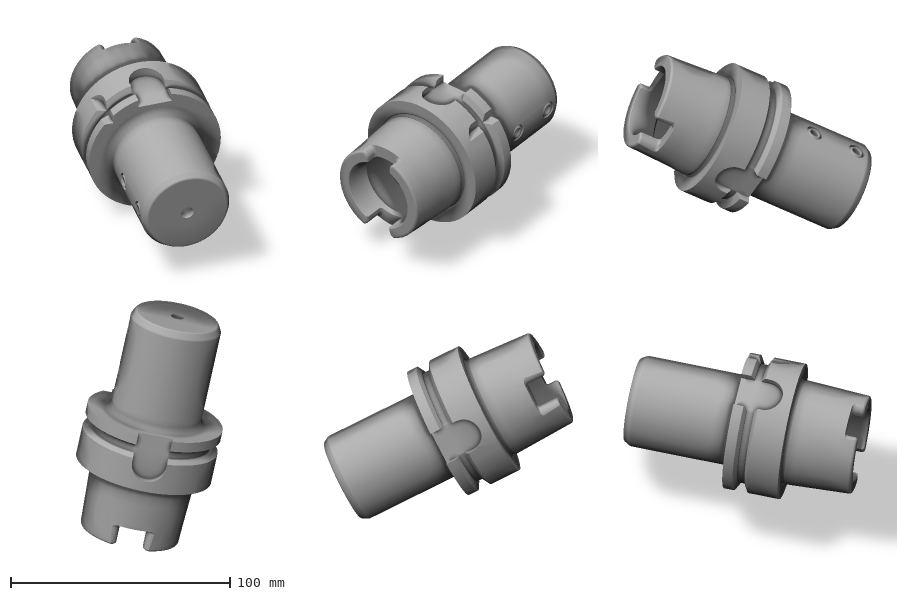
import cadquery as cq
import math


length = 107.0
flange_start = 32.0
flange_end = 57.9

gauge_radius = 48.0 / 2
gauge_x = 25.7
taper_slope = 1 / 20
taper_end = 30.1
relief_start = 30.7
relief_end = 31.6
relief_radius = 23.9
undercut_x = 32.3
undercut_radius = 24.6
undercut_mouth_radius = 25.3
mouth_edge_radius = 1.2

flange_radius = 63.0 / 2
groove_radius = 27.6
groove_center_x = 49.9
groove_floor_width = 3.5
groove_flank_depth = 2.7
groove_flank_angle = 30.0

nose_radius = 42.0 / 2
nose_root_fillet = 3.1
nose_chamfer_length = 3.2
nose_chamfer_angle = 30.0
nose_chamfer_start_blend = 1.4
nose_chamfer_end_blend = 1.1

bore_radius = 34.0 / 2
bore_mouth_radius = 34.7 / 2
bore_mouth_chamfer = 0.3
chamber_radius = 40.0 / 2
bore_end = 13.0
clamp_shoulder_angle = 30.0
cavity_floor = 32.1
cavity_floor_blend = 4.2

boss_radius = 18.0 / 2
boss_height = 12.8
boss_chamfer = 1.0
boss_chamfer_angle = 30.0
seat_mouth_radius = 12.0 / 2
seat_radius = 11.1 / 2
seat_depth = 8.6
step_radius = 8.0 / 2
step_depth = 3.2
through_radius = 6.0 / 2

slot_half_width = 6.2
upper_slot_depth = 5.9
lower_slot_depth = 10.1
slot_flare_radius = 3.2
slot_flare_start_z = 17.8
slot_floor_fillet = 1.5

access_x = 23.1
access_radius = 7.5 / 2
access_chamfer = 0.5
countersink_height = 5.4

keyway_width = 15.9
keyway_floor_z = 26.5
pocket_start = 36.8
keyway_corner_radius = 7.9
notch_floor_z = 20.1
notch_wall_y = -19.9
notch_corner_radius = 7.1

screw_positions = (76.1, 98.1)
screw_radius = 8.0 / 2
screw_face_radius = 5.5 / 2
screw_face_depth = 0.2
screw_chamfer_depth = 1.3
socket_mouth_radius = 4.6 / 2
socket_radius = 4.0 / 2
socket_chamfer = 0.3
socket_depth = 2.1
socket_tip_depth = 1.2

margin = 5.4
tolerance = 0.1

arc_middle = 1 - math.sqrt(0.5)


def taper_radius(x):
    return gauge_radius + (x - gauge_x) * taper_slope


def revolve_about_x(outline):
    return outline.close().revolve(360, (0, 0, 0), (1, 0, 0))


def make_outer_body():
    flank_length = groove_flank_depth * math.tan(math.radians(groove_flank_angle))
    flank_radius = flange_radius - groove_flank_depth
    groove_left = groove_center_x - groove_floor_width / 2
    groove_right = groove_center_x + groove_floor_width / 2
    fillet_radius = nose_radius + nose_root_fillet
    fillet_end = flange_end + nose_root_fillet
    fillet_reach = nose_root_fillet * arc_middle
    chamfer_x = length - nose_chamfer_length
    chamfer_drop = nose_chamfer_length * math.tan(math.radians(nose_chamfer_angle))
    outline = (
        cq.Workplane("XY")
        .moveTo(0, 0)
        .lineTo(0, taper_radius(0))
        .lineTo(taper_end, taper_radius(taper_end))
        .lineTo(relief_start, relief_radius)
        .lineTo(relief_end, relief_radius)
        .lineTo(undercut_x, undercut_radius)
        .lineTo(flange_start, undercut_mouth_radius)
        .lineTo(flange_start, flange_radius)
        .lineTo(groove_left - flank_length, flange_radius)
        .lineTo(groove_left, flank_radius)
        .lineTo(groove_left, groove_radius)
        .lineTo(groove_right, groove_radius)
        .lineTo(groove_right, flank_radius)
        .lineTo(groove_right + flank_length, flange_radius)
        .lineTo(flange_end, flange_radius)
        .lineTo(flange_end, fillet_radius)
        .threePointArc((flange_end + fillet_reach, nose_radius + fillet_reach), (fillet_end, nose_radius))
        .lineTo(chamfer_x, nose_radius)
        .lineTo(length, nose_radius - chamfer_drop)
        .lineTo(length, 0)
    )
    body = revolve_about_x(outline)
    body = body.faces(">X").edges().fillet(nose_chamfer_end_blend)
    chamfer_start = cq.selectors.BoxSelector(
        (chamfer_x - tolerance, -flange_radius, -flange_radius),
        (chamfer_x + tolerance, flange_radius, flange_radius),
        boundingbox=True,
    )
    body = body.edges(chamfer_start).fillet(nose_chamfer_start_blend)
    return body.faces("<X").edges().fillet(mouth_edge_radius)


def make_cavity():
    shoulder_length = (chamber_radius - bore_radius) * math.tan(math.radians(clamp_shoulder_angle))
    boss_chamfer_length = boss_chamfer / math.tan(math.radians(boss_chamfer_angle))
    blend_reach = cavity_floor_blend * arc_middle
    boss_top = cavity_floor - boss_height
    seat_floor = boss_top + seat_depth
    step_floor = seat_floor + step_depth
    outline = (
        cq.Workplane("XY")
        .moveTo(0, 0)
        .lineTo(0, bore_mouth_radius)
        .lineTo(bore_mouth_chamfer, bore_radius)
        .lineTo(bore_end, bore_radius)
        .lineTo(bore_end + shoulder_length, chamber_radius)
        .lineTo(cavity_floor - cavity_floor_blend, chamber_radius)
        .threePointArc(
            (cavity_floor - blend_reach, chamber_radius - blend_reach),
            (cavity_floor, chamber_radius - cavity_floor_blend),
        )
        .lineTo(cavity_floor, boss_radius)
        .lineTo(boss_top + boss_chamfer_length, boss_radius)
        .lineTo(boss_top, boss_radius - boss_chamfer)
        .lineTo(boss_top, seat_mouth_radius)
        .lineTo(boss_top + seat_mouth_radius - seat_radius, seat_radius)
        .lineTo(seat_floor, seat_radius)
        .lineTo(seat_floor, step_radius)
        .lineTo(step_floor, step_radius)
        .lineTo(step_floor, through_radius)
        .lineTo(length, through_radius)
        .lineTo(length, 0)
    )
    return revolve_about_x(outline)


def make_drive_slot(depth):
    """Slot above the axis whose walls flare outwards in an arc, with rounded floor corners and mouth."""
    flare_reach = slot_flare_radius * arc_middle
    flare_top = slot_flare_start_z + slot_flare_radius
    flare_half_width = slot_half_width + slot_flare_radius
    middle_y = slot_half_width + flare_reach
    middle_z = flare_top - flare_reach
    slot = (
        cq.Workplane("YZ")
        .moveTo(-slot_half_width, 0)
        .lineTo(-slot_half_width, slot_flare_start_z)
        .threePointArc((-middle_y, middle_z), (-flare_half_width, flare_top))
        .lineTo(-flange_radius, flare_top)
        .lineTo(-flange_radius, flange_radius)
        .lineTo(flange_radius, flange_radius)
        .lineTo(flange_radius, flare_top)
        .lineTo(flare_half_width, flare_top)
        .threePointArc((middle_y, middle_z), (slot_half_width, slot_flare_start_z))
        .lineTo(slot_half_width, 0)
        .close()
        .extrude(depth)
    )
    inner_edges = "not(<Z or >Z or <Y or >Y)"
    slot = slot.faces(">X").edges(inner_edges).fillet(slot_floor_fillet)

    slab = (
        cq.Workplane("YZ")
        .rect(2 * flange_radius, 2 * flange_radius)
        .extrude(depth + margin)
    )
    mouth_edges = cq.selectors.BoxSelector(
        (-margin, tolerance - flare_half_width, tolerance),
        (margin, flare_half_width - tolerance, flange_radius - tolerance),
    )
    slotted_slab = slab.cut(slot).faces("<X").edges(mouth_edges).fillet(mouth_edge_radius)
    return slab.cut(slotted_slab)


def make_access_hole():
    """Radial hole through the upper taper wall; its countersink is kept clear of the flange."""
    hole = (
        cq.Workplane("XY", origin=(access_x, 0, bore_radius))
        .circle(access_radius)
        .extrude(flange_radius)
    )
    countersink = cq.Solid.makeCone(
        access_radius,
        access_radius + countersink_height,
        countersink_height,
        pnt=cq.Vector(access_x, 0, taper_radius(access_x) - access_chamfer),
        dir=cq.Vector(0, 0, 1),
    )
    flange_side = (
        cq.Workplane("YZ", origin=(flange_start, 0, 0))
        .rect(2 * flange_radius, 4 * flange_radius)
        .extrude(length)
    )
    return hole.union(cq.Workplane(countersink)).cut(flange_side)


def make_flange_pocket(wall_y, opposite_y, floor_z, corner_radius):
    """Pocket milled from above, open towards +X, with round corners at its closed end."""
    pocket_end = flange_end + margin
    pocket = (
        cq.Workplane("XY", origin=(0, 0, floor_z))
        .moveTo((pocket_start + pocket_end) / 2, (wall_y + opposite_y) / 2)
        .rect(pocket_end - pocket_start, abs(wall_y - opposite_y))
        .extrude(flange_radius)
    )
    return pocket.edges("|Z and <X").fillet(corner_radius)


def make_screw_recess(x):
    """Space over a sunk clamping screw: around its chamfered end and in its socket with a conical bottom."""
    socket_floor = screw_face_depth + socket_depth
    return (
        cq.Workplane("XY", origin=(x, -nose_radius, 0))
        .moveTo(0, -margin)
        .lineTo(screw_radius, -margin)
        .lineTo(screw_radius, screw_face_depth + screw_chamfer_depth)
        .lineTo(screw_face_radius, screw_face_depth)
        .lineTo(socket_mouth_radius, screw_face_depth)
        .lineTo(socket_radius, screw_face_depth + socket_chamfer)
        .lineTo(socket_radius, socket_floor)
        .lineTo(0, socket_floor + socket_tip_depth)
        .close()
        .revolve(360, (0, 0, 0), (0, 1, 0))
    )


body = make_outer_body()

upper_slot = make_drive_slot(upper_slot_depth)
lower_slot = make_drive_slot(lower_slot_depth).mirror("XY")
body = body.cut(upper_slot).cut(lower_slot)
body = body.cut(make_cavity()).cut(make_access_hole())

keyway = make_flange_pocket(keyway_width / 2, -keyway_width / 2, keyway_floor_z, keyway_corner_radius)
body = body.cut(keyway).cut(keyway.mirror("XY"))
notch = make_flange_pocket(notch_wall_y, -2 * flange_radius, notch_floor_z, notch_corner_radius)
body = body.cut(notch)

for screw_x in screw_positions:
    body = body.cut(make_screw_recess(screw_x))

result = body